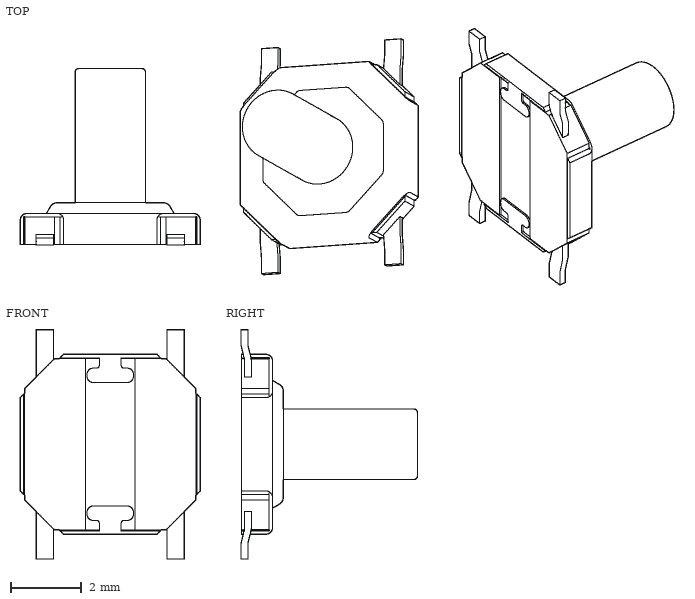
import cadquery as cq
import math


base_half = 2.425
base_flat_half = 1.58
base_bottom = 0.01
base_top = 0.80
groove_half = 0.70
groove_depth = 0.05

cover_half = 2.55
cover_flat_half = 1.32
sheet = 0.10
cover_top = base_top + sheet
cover_edge_radius = 0.20

tab_neck_half = 0.31
tab_bar_half = 0.655
tab_bar_inner = 1.75
tab_bar_outer = 2.155
tab_bar_radius = 0.17
tab_neck_radius = 0.08

dome_sides = 8
dome_inradius = 1.81
dome_height = 0.30
dome_taper = 31.0
dome_corner_radius = 0.20
dome_edge_radius = 0.22

plunger_radius = 1.0
plunger_end = 5.0
plunger_edge_radius = 0.10

lead_center_x = 1.85
lead_width = 0.50
lead_thickness = 0.20
lead_rise = 0.10
lead_tip = 3.25
lead_foot_start = 2.80
lead_bend_start = 2.39
lead_root = 1.60


def plane_at(y):
    """Sketch plane at height y, with local axes along X and Z."""
    return cq.Workplane("XZ", origin=(0, y, 0))


def block(x_half, z_min, z_max, y_min, y_max):
    """Box centred on X = 0."""
    return (
        plane_at(y_min)
        .center(0, (z_min + z_max) / 2)
        .rect(2 * x_half, z_max - z_min)
        .extrude(y_min - y_max)
    )


def octagon_prism(half, flat_half, y_min, y_max):
    """Square prism with its four corners cut at 45 degrees."""
    corner_cut = half - flat_half
    prism = block(half, -half, half, y_min, y_max)
    return prism.edges("|Y").chamfer(corner_cut)


def mirror_in_z(shape):
    """The shape together with its mirror image across Z = 0."""
    return shape.union(shape.mirror("XY"))


def make_base():
    """Octagonal moulding with a groove across its underside."""
    base = octagon_prism(base_half, base_flat_half, base_bottom, base_top)
    groove = block(groove_half, -base_half, base_half, base_bottom, base_bottom + groove_depth)
    return base.cut(groove)


def make_cover():
    """Open metal cap with rounded upper edges and its corners cut away."""
    shell = block(cover_half, -cover_half, cover_half, base_bottom, cover_top)
    shell = shell.faces(">Y").edges().fillet(cover_edge_radius)
    cavity_half = cover_half - sheet
    shell = shell.cut(block(cavity_half, -cavity_half, cavity_half, base_bottom, base_top))
    return shell.intersect(octagon_prism(cover_half, cover_flat_half, base_bottom, cover_top))


def make_tabs():
    """T-shaped tabs folded inward from the two Z walls of the cover."""
    tab_top = base_bottom + sheet
    bar = block(tab_bar_half, tab_bar_inner, tab_bar_outer, base_bottom, tab_top)
    bar = bar.edges("|Y").fillet(tab_bar_radius)
    neck = block(tab_neck_half, tab_bar_inner, cover_half, base_bottom, tab_top)
    reach = tab_neck_radius
    inner_corners = cq.selectors.BoxSelector(
        (-tab_neck_half - reach, base_bottom, tab_bar_outer - reach),
        (tab_neck_half + reach, tab_top, tab_bar_outer + reach),
    )
    tab = bar.union(neck).edges("|Y").edges(inner_corners).fillet(tab_neck_radius)
    return mirror_in_z(tab)


def make_dome():
    """Tapered octagonal rise on the cover around the plunger."""
    half_sector = 180 / dome_sides
    circumdiameter = 2 * dome_inradius / math.cos(math.radians(half_sector))
    dome = (
        plane_at(cover_top)
        .transformed(rotate=(0, 0, half_sector))
        .polygon(dome_sides, circumdiameter)
        .extrude(-dome_height, taper=dome_taper)
    )
    dome = dome.edges("not #Y").fillet(dome_corner_radius)
    return dome.faces(">Y").edges().fillet(dome_edge_radius)


def make_plunger():
    """Round push rod with a rounded end."""
    plunger = plane_at(cover_top).circle(plunger_radius).extrude(cover_top - plunger_end)
    return plunger.faces(">Y").edges().fillet(plunger_edge_radius)


def make_lead(center_x):
    """Z-bent strip: a foot on the mounting plane and an upper run entering the base."""
    profile = [
        (0, lead_tip),
        (0, lead_foot_start),
        (lead_rise, lead_bend_start),
        (lead_rise, lead_root),
        (lead_rise + lead_thickness, lead_root),
        (lead_rise + lead_thickness, lead_bend_start),
        (lead_thickness, lead_foot_start),
        (lead_thickness, lead_tip),
    ]
    left_side = center_x - lead_width / 2
    return cq.Workplane("YZ", origin=(left_side, 0, 0)).polyline(profile).close().extrude(lead_width)


result = make_base()
for part in (make_cover(), make_tabs(), make_dome(), make_plunger()):
    result = result.union(part)
for side in (-1, 1):
    result = result.union(mirror_in_z(make_lead(side * lead_center_x)))